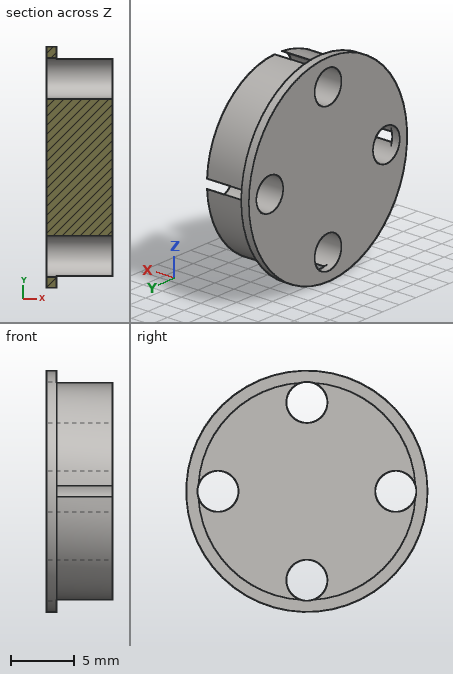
import cadquery as cq

flange_diameter = 19.0
flange_thickness = 0.8
total_length = 5.2
body_diameter = 17.1
hole_diameter = 3.21
hole_circle_radius = 7.0
hole_count = 4


def make_flanged_disc():
    """Thin flange at X = 0 with a smaller round body behind it, along +X."""
    flange = cq.Workplane("YZ").circle(flange_diameter / 2).extrude(flange_thickness)
    body = cq.Workplane("YZ").circle(body_diameter / 2).extrude(total_length)
    return flange.union(body)


def make_holes():
    """Through holes that just break out of the body side, leaving narrow slits."""
    return (
        cq.Workplane("YZ")
        .polarArray(hole_circle_radius, 0, 360, hole_count)
        .circle(hole_diameter / 2)
        .extrude(total_length)
    )


result = make_flanged_disc().cut(make_holes())